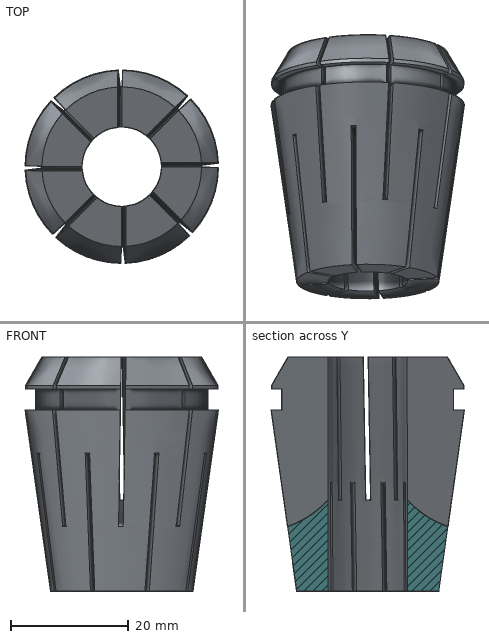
import cadquery as cq
import math

height = 40.0
bore_radius = 6.75

taper_height = 30.95
taper_angle = 8.0
taper_top_radius = 16.5
taper_bottom_radius = taper_top_radius - taper_height * math.tan(math.radians(taper_angle))

groove_radius = 14.7
groove_top = 34.5

band_radius = 16.4
band_top = 35.15
head_angle = 30.0
head_top_radius = band_radius - (height - band_top) * math.tan(math.radians(head_angle))

slots_per_end = 8
slot_pitch = 360.0 / slots_per_end
slot_width = 0.8
slot_lean = 1.0
blade_radius = 16.8
blade_axis_distance = 19.15
upper_blade_height = 26.95
lower_blade_height = 7.2
overshoot = 4.0


def make_body():
    """Revolve the bored collet without its slots."""
    outline = [
        (bore_radius, 0),
        (taper_bottom_radius, 0),
        (taper_top_radius, taper_height),
        (groove_radius, taper_height),
        (groove_radius, groove_top),
        (band_radius, groove_top),
        (band_radius, band_top),
        (head_top_radius, height),
        (bore_radius, height),
    ]
    return cq.Workplane("XZ").polyline(outline).close().revolve(360, (0, 0, 0), (0, 1, 0))


def make_slot(blade_height, direction):
    """Slot along +X with a blade-shaped inner end, open upward (direction 1) or downward (-1)."""
    inner = blade_axis_distance - blade_radius
    open_end = height + overshoot if direction > 0 else -overshoot
    diagonal = blade_radius * math.sqrt(0.5)
    slot = (
        cq.Workplane("XZ")
        .moveTo(inner, open_end)
        .lineTo(inner, blade_height)
        .threePointArc(
            (blade_axis_distance - diagonal, blade_height - direction * diagonal),
            (blade_axis_distance, blade_height - direction * blade_radius),
        )
        .lineTo(blade_axis_distance, open_end)
        .close()
        .extrude(slot_width / 2, both=True)
    )
    mid_height = height / 2
    return slot.rotate((0, 0, mid_height), (1, 0, mid_height), -slot_lean)


result = make_body()
upper_slot = make_slot(upper_blade_height, 1)
lower_slot = make_slot(lower_blade_height, -1)

for index in range(slots_per_end):
    upper_angle = index * slot_pitch
    lower_angle = upper_angle + slot_pitch / 2
    result = result.cut(upper_slot.rotate((0, 0, 0), (0, 0, 1), upper_angle))
    result = result.cut(lower_slot.rotate((0, 0, 0), (0, 0, 1), lower_angle))